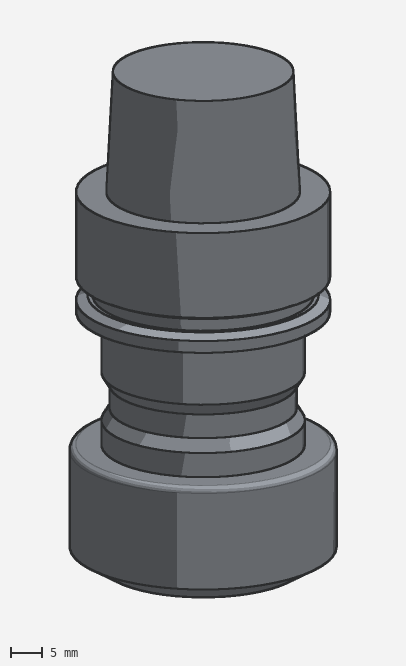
import cadquery as cq

total_length = 81.85

nut_diameter = 42.0
nut_height = 20.0
nut_face_diameter = 32.0
nut_bevel_height = 3.0
nut_edge_radius = 1.0

neck_diameter = 32.0
waist_diameter = 29.5
lower_neck_top = 24.0
waist_bottom = 26.0
waist_top = 29.95
upper_neck_bottom = 32.0

flange_diameter = 39.95
groove_diameter = 34.8
flange_bottom = 42.0
rim_height = 2.0
rim_bevel_width = 1.8
groove_bottom = 44.8
groove_top = 47.0
groove_bevel_top = 47.8

shank_length = 20.0
shank_base_diameter = 30.45
shank_tip_diameter = 28.4

nut_radius = nut_diameter / 2
neck_radius = neck_diameter / 2
waist_radius = waist_diameter / 2
flange_radius = flange_diameter / 2
groove_radius = groove_diameter / 2
rim_top = flange_bottom + rim_height
rim_bevel_radius = flange_radius - rim_bevel_width
flange_top = total_length - shank_length

result = (
    cq.Workplane("XZ")
    .moveTo(0, 0)
    .lineTo(nut_face_diameter / 2, 0)
    .lineTo(nut_radius, nut_bevel_height)
    .lineTo(nut_radius, nut_height - nut_edge_radius)
    .radiusArc((nut_radius - nut_edge_radius, nut_height), -nut_edge_radius)
    .lineTo(neck_radius, nut_height)
    .lineTo(neck_radius, lower_neck_top)
    .lineTo(waist_radius, waist_bottom)
    .lineTo(waist_radius, waist_top)
    .lineTo(neck_radius, upper_neck_bottom)
    .lineTo(neck_radius, flange_bottom)
    .lineTo(flange_radius, flange_bottom)
    .lineTo(flange_radius, rim_top)
    .lineTo(rim_bevel_radius, groove_bottom)
    .lineTo(groove_radius, groove_bottom)
    .lineTo(groove_radius, groove_top)
    .lineTo(rim_bevel_radius, groove_top)
    .lineTo(flange_radius, groove_bevel_top)
    .lineTo(flange_radius, flange_top)
    .lineTo(shank_base_diameter / 2, flange_top)
    .lineTo(shank_tip_diameter / 2, total_length)
    .lineTo(0, total_length)
    .close()
    .revolve(360, (0, 0), (0, 1))
)